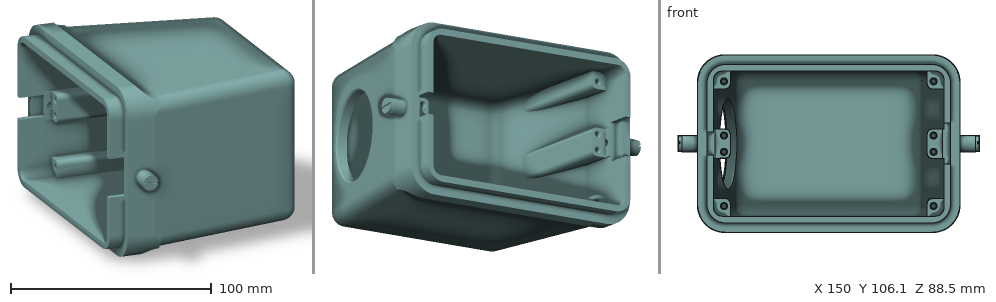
import cadquery as cq
import math


total_length = 150.0
flange_width = 130.8
flange_height = 88.5
flange_corner = 13.8
flange_edge_depth = 9.2
flange_blend_radius = 10.2
body_height = 78.9
body_depth = 98.3
body_edge_radius = 7.0
taper_start = 14.9
side_angle = 10.8

rim_depth = 7.8
rim_wall = 3.2
rim_inset = (flange_height - body_height) / 2
rim_width = flange_width - 2 * rim_inset
rim_corner = flange_corner - rim_inset
left_notch_width = 11.4
right_notch_width = 20.4
notch_depth = 5.7

cavity_half_width = rim_width / 2 - rim_wall
cavity_height = body_height - 2 * rim_wall - 0.3
cavity_depth = 90.5
cavity_taper_start = 26.7
cavity_edge_radius = 4.5
cavity_back_radius = 5.3

post_front = 9.2
post_inner_x = 49.0
post_corner_radius = 2.5
middle_post_width = 14.7
corner_post_inner_z = 27.3
screw_x = 52.2
middle_screw_z = 4.0
corner_screw_z = 31.0
screw_hole_diameter = 2.5
screw_mouth_diameter = 3.5
screw_hole_depth = 15.0
pad_inner_x = 56.5
pad_front = notch_depth
pad_bore_diameter = 3.9
pad_bore_depth = 5.3

pin_y = 8.5
pin_diameter = 8.4
pin_tip_diameter = 8.0
pin_tip_length = 1.8
pin_slot_width = 1.0
pin_slot_depth = 0.9
pin_slot_angle = 8.0

entry_diameter = 45.8
entry_chamfer = 0.8
entry_y = 66.2
entry_length = 10.5

side_slope = math.tan(math.radians(side_angle))


def outer_half_width(y):
    return flange_width / 2 - (y - taper_start) * side_slope


def cavity_half_width_at(y):
    return cavity_half_width - max(0, y - cavity_taper_start) * side_slope


def box(x0, x1, y0, y1, z0, z1):
    return cq.Workplane("XY").box(x1 - x0, y1 - y0, z1 - z0, centered=False).translate((x0, y0, z0))


def rounded_block(width, height, corner, y0, y1):
    return box(-width / 2, width / 2, y0, y1, -height / 2, height / 2).edges("|Y").fillet(corner)


def wedge(height):
    front = outer_half_width(0)
    back = outer_half_width(body_depth)
    outline = [(-front, 0), (front, 0), (back, body_depth), (-back, body_depth)]
    return cq.Workplane("XY").polyline(outline).close().extrude(height / 2, both=True)


def make_body():
    return wedge(body_height).faces("not <Y").edges("not <Y").fillet(body_edge_radius)


def make_flange():
    """Flange whose back slopes at 45 degrees and runs out on the body in a concave arc."""
    top = flange_height / 2
    base = body_height / 2
    slope = math.radians(45)
    foot_y = flange_edge_depth + rim_inset
    run_out = flange_blend_radius * math.tan(slope / 2)
    arc_start = (foot_y - run_out * math.cos(slope), base + run_out * math.sin(slope))
    arc_end_y = foot_y + run_out
    arc_middle = (
        arc_end_y - flange_blend_radius * math.sin(slope / 2),
        base + flange_blend_radius * (1 - math.cos(slope / 2)),
    )
    upper_half = (
        cq.Workplane("YZ")
        .moveTo(0, 0)
        .lineTo(0, top)
        .lineTo(flange_edge_depth, top)
        .lineTo(*arc_start)
        .threePointArc(arc_middle, (arc_end_y, base))
        .lineTo(arc_end_y, 0)
        .close()
        .extrude(flange_width / 2, both=True)
    )
    return upper_half.union(upper_half.mirror("XY")).intersect(wedge(flange_height))


def make_outer_shell():
    """Body and flange within the rounded outline of the flange, plus the rim."""
    outline = rounded_block(flange_width, flange_height, flange_corner, 0, body_depth)
    shell = make_body().union(make_flange()).intersect(outline)
    return shell.union(rounded_block(rim_width, body_height, rim_corner, -rim_depth, 1.5))


def make_cavity():
    mouth = cavity_half_width
    back = cavity_half_width_at(cavity_depth)
    outline = [
        (-mouth, -rim_depth),
        (mouth, -rim_depth),
        (mouth, cavity_taper_start),
        (back, cavity_depth),
        (-back, cavity_depth),
        (-mouth, cavity_taper_start),
    ]
    block = cq.Workplane("XY").polyline(outline).close().extrude(cavity_height / 2, both=True)
    block = block.faces(">Y").edges().fillet(cavity_back_radius)
    return block.faces("|Z").edges("not |X").fillet(cavity_edge_radius)


def make_posts(shell):
    """Middle and corner screw posts on both sides, trimmed to the inside of the shell."""
    outer_x = flange_width / 2
    half = middle_post_width / 2
    posts = box(post_inner_x, outer_x, post_front, cavity_depth, -half, half)
    posts = posts.edges("|Y and <X").fillet(post_corner_radius)
    posts = posts.union(box(pad_inner_x, outer_x, pad_front, cavity_depth, -half, half))
    corner = box(post_inner_x, outer_x, post_front, cavity_depth, corner_post_inner_z, body_height / 2)
    corner = corner.edges("|Y and <X and <Z").fillet(post_corner_radius)
    posts = posts.union(corner).union(corner.mirror("XY"))
    posts = posts.union(posts.mirror("YZ"))
    return posts.intersect(shell)


def make_screw_holes():
    flare = (screw_mouth_diameter - screw_hole_diameter) / 2
    hole_radius = screw_hole_diameter / 2
    profile = [
        (0, 0),
        (hole_radius + flare, 0),
        (hole_radius, flare),
        (hole_radius, screw_hole_depth),
        (0, screw_hole_depth),
    ]
    hole = cq.Workplane("XY").polyline(profile).close().revolve(360, (0, 0), (0, 1))
    holes = cq.Workplane("XY")
    for x in (-screw_x, screw_x):
        for z in (-corner_screw_z, -middle_screw_z, middle_screw_z, corner_screw_z):
            holes = holes.add(hole.translate((x, post_front, z)))
    return holes.combine()


def make_notch(width):
    """Notch through the rim on the +X side, continued as a recess inside the flange."""
    return box(pad_inner_x, rim_width / 2, -rim_depth, notch_depth, -width / 2, width / 2)


def make_pin():
    """Pin on the +X side with a slotted tip."""
    tip_x = total_length / 2
    root_x = rim_width / 2
    shoulder_x = tip_x - pin_tip_length
    pin = cq.Workplane("YZ", origin=(root_x, 0, 0)).circle(pin_diameter / 2).extrude(shoulder_x - root_x)
    pin = pin.faces(">X").workplane().circle(pin_tip_diameter / 2).extrude(pin_tip_length)
    slot = (
        cq.Workplane("YZ", origin=(tip_x - pin_slot_depth, 0, 0))
        .rect(pin_diameter, pin_slot_width)
        .extrude(pin_slot_depth)
        .rotate((0, 0, 0), (1, 0, 0), -pin_slot_angle)
    )
    return pin.cut(slot).translate((0, pin_y, 0))


def make_pad_bore():
    start = cq.Workplane("YZ", origin=(pad_inner_x, pin_y, 0))
    return start.circle(pad_bore_diameter / 2).extrude(pad_bore_depth)


def make_cable_entry():
    """Round opening square to the leaning -X side, with a chamfered outer edge."""
    lean = math.radians(side_angle)
    entry_plane = cq.Plane(
        origin=(-outer_half_width(entry_y), entry_y, 0),
        xDir=(0, 0, 1),
        normal=(-math.cos(lean), math.sin(lean), 0),
    )
    radius = entry_diameter / 2
    bore = cq.Workplane(entry_plane).circle(radius).extrude(-entry_length)
    flare = cq.Workplane(entry_plane).circle(radius + entry_chamfer).extrude(-entry_chamfer, taper=45)
    return bore.union(flare)


outer = make_outer_shell()
result = outer.cut(make_cavity())

result = result.union(make_posts(outer)).cut(make_screw_holes())

result = result.cut(make_notch(right_notch_width)).cut(make_notch(left_notch_width).mirror("YZ"))

result = result.cut(make_cable_entry())

pin = make_pin()
result = result.union(pin).union(pin.mirror("YZ"))
pad_bore = make_pad_bore()
result = result.cut(pad_bore).cut(pad_bore.mirror("YZ"))